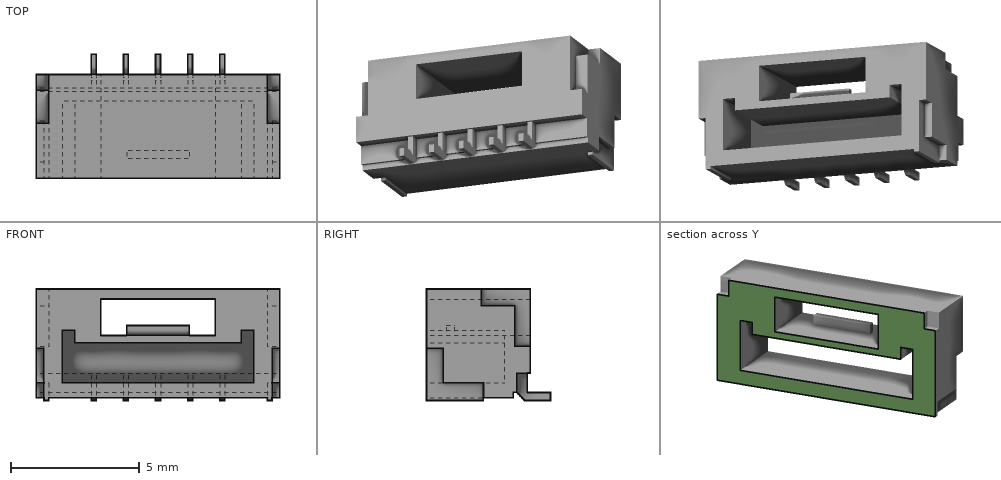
import cadquery as cq

length = 9.5
height = 4.35
housing_depth = 4.06
overall_depth = 4.85
standoff = 0.1

notch_depth = 0.52
notch_top = 1.06
step_depth = 0.66
step_top = 0.31

window_width = 4.465
window_height = 1.42
window_roof = 0.4
catch_width = 2.45
catch_height = 0.4
catch_front = 0.79
catch_depth = 0.3

cavity_width = 7.47
cavity_floor = 0.69
cavity_height = 1.56
ear_width = 0.49
ear_height = 0.49
cavity_depth = 3.04

recess_inset = 0.49
recess_length = 1.91
recess_drop = 0.66
recess_arm = 0.61
recess_arm_drop = 2.24

anchor_inset = 0.29
anchor_thickness = 0.2
anchor_foot_length = 2.22
anchor_foot_height = 0.69
anchor_arm_width = 0.66
anchor_arm_height = 2.04
pocket_clearance = 0.03

pin_count = 5
pin_pitch = 1.25
pin_width = 0.2
pin_thickness = 0.31
pin_leg_back = 3.94
pin_leg_front = housing_depth - notch_depth
pin_heel_bevel = 0.3


def block(x_size, y_start, y_end, z_start, z_end):
    """Box centred on X between the given Y and Z limits."""
    return cq.Workplane("XY").box(
        x_size, y_end - y_start, z_end - z_start, centered=(True, False, False)
    ).translate((0, y_start, z_start))


def side_profile(points, x_start, width):
    """Closed (Y, Z) outline extruded along +X."""
    return cq.Workplane("YZ").polyline(points).close().extrude(width).translate((x_start, 0, 0))


def both_ends(solid):
    """The solid together with its mirror image at the other end."""
    return solid.union(solid.mirror("YZ"))


def housing_shell():
    notch_front = housing_depth - notch_depth
    step_front = housing_depth - step_depth
    outline = [
        (0, standoff),
        (step_front, standoff),
        (step_front, step_top),
        (notch_front, step_top),
        (notch_front, notch_top),
        (housing_depth, notch_top),
        (housing_depth, height),
        (0, height),
    ]
    return side_profile(outline, -length / 2, length)


def mating_cavity():
    shelf = cavity_floor + cavity_height
    cavity = block(cavity_width, 0, cavity_depth, cavity_floor, shelf)
    ear = block(ear_width, 0, cavity_depth, shelf, shelf + ear_height)
    ear = ear.translate(((ear_width - cavity_width) / 2, 0, 0))
    return cavity.union(both_ends(ear))


def corner_recesses():
    rear = housing_depth
    outline = [
        (rear, height),
        (rear - recess_length, height),
        (rear - recess_length, height - recess_drop),
        (rear - recess_arm, height - recess_drop),
        (rear - recess_arm, height - recess_arm_drop),
        (rear, height - recess_arm_drop),
    ]
    return both_ends(side_profile(outline, -length / 2, recess_inset))


def anchor_shapes(foot_length, x_start, width):
    outline = [
        (0, 0),
        (foot_length, 0),
        (foot_length, anchor_foot_height),
        (anchor_arm_width, anchor_foot_height),
        (anchor_arm_width, anchor_arm_height),
        (0, anchor_arm_height),
    ]
    return both_ends(side_profile(outline, x_start, width))


def pin(x_center):
    outline = [
        (overall_depth, 0),
        (pin_leg_front + pin_heel_bevel, 0),
        (pin_leg_front, pin_thickness),
        (pin_leg_front, notch_top),
        (pin_leg_back, notch_top),
        (pin_leg_back, pin_thickness),
        (overall_depth, pin_thickness),
    ]
    return side_profile(outline, x_center - pin_width / 2, pin_width)


window_top = height - window_roof
window_floor = window_top - window_height
window = block(window_width, 0, housing_depth, window_floor, window_top)
catch = block(
    catch_width, catch_front, catch_front + catch_depth, window_floor, window_floor + catch_height
)

anchor_pockets = anchor_shapes(
    anchor_foot_length + pocket_clearance, -length / 2, anchor_inset + anchor_thickness
)
anchors = anchor_shapes(anchor_foot_length, anchor_inset - length / 2, anchor_thickness)

result = housing_shell().cut(window).cut(mating_cavity()).cut(corner_recesses())
result = result.cut(anchor_pockets).union(anchors).union(catch)
for index in range(pin_count):
    result = result.union(pin((index - (pin_count - 1) / 2) * pin_pitch))